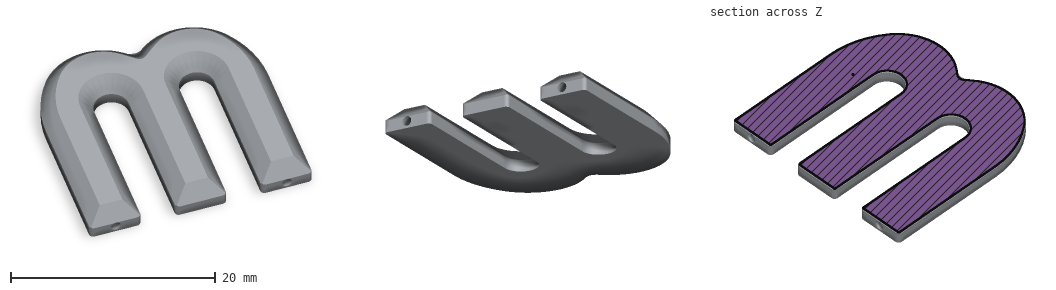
import cadquery as cq
import math

length = 22.0
width = 23.0
thickness = 2.7
bevel = 1.47
arm_width = 5.3
tip_radius = 0.41
slot_floor_x = 5.89
shoulder_x = 8.5
lobe_radius = 5.98
lobe_y = 4.67
neck_angle = math.radians(40)
neck_radius = 1.15
hole_diameter = 1.0
hole_z = 0.74

half_width = width / 2
arm_pitch = (width - arm_width) / 2
slot_width = arm_pitch - arm_width
slot_radius = slot_width / 2
slot_center_x = slot_floor_x + slot_radius

rise = half_width - lobe_y
run = shoulder_x - lobe_radius
shoulder_radius = (run**2 + rise**2 - lobe_radius**2) / (2 * (rise - lobe_radius))
shoulder_center_y = half_width - shoulder_radius
join_angle = math.atan2(lobe_y - shoulder_center_y, run)


def on_shoulder(angle):
    """Point of the upper shoulder arc, with the angle measured up from -X."""
    x = shoulder_x - shoulder_radius * math.cos(angle)
    return x, shoulder_center_y + shoulder_radius * math.sin(angle)


def on_lobe(angle):
    """Point of the upper lobe arc, with the angle measured up from -X."""
    x = lobe_radius * (1 - math.cos(angle))
    return x, lobe_y + lobe_radius * math.sin(angle)


def mirrored(point):
    return point[0], -point[1]


shoulder_end = (shoulder_x, half_width)
shoulder_middle = on_shoulder((join_angle + math.pi / 2) / 2)
join = on_shoulder(join_angle)
lobe_middle = on_lobe((join_angle - neck_angle) / 2)
flank = on_lobe(-neck_angle)
neck_x = flank[0] + flank[1] * math.tan(neck_angle)


def blank():
    """Solid plate with two lobes on the left, meeting in a sharp neck."""
    return (
        cq.Workplane("XY")
        .moveTo(length, half_width)
        .lineTo(*shoulder_end)
        .threePointArc(shoulder_middle, join)
        .threePointArc(lobe_middle, flank)
        .lineTo(neck_x, 0)
        .lineTo(*mirrored(flank))
        .threePointArc(mirrored(lobe_middle), mirrored(join))
        .threePointArc(mirrored(shoulder_middle), mirrored(shoulder_end))
        .lineTo(length, -half_width)
        .close()
        .extrude(thickness)
    )


def slot(center_y):
    """Round-ended gap between two arms, open at the arm tips."""
    return (
        cq.Workplane("XY")
        .moveTo(length, center_y + slot_radius)
        .lineTo(slot_center_x, center_y + slot_radius)
        .threePointArc((slot_floor_x, center_y), (slot_center_x, center_y - slot_radius))
        .lineTo(length, center_y - slot_radius)
        .close()
        .extrude(thickness)
    )


def lengthwise_hole(center_y):
    """Hole along the whole of an outer arm."""
    return (
        cq.Workplane("YZ")
        .center(center_y, hole_z)
        .circle(hole_diameter / 2)
        .extrude(length)
    )


body = blank()
for side in (-1, 1):
    body = body.cut(slot(side * arm_pitch / 2))

body = body.faces(">Z").edges().chamfer(bevel)

body = body.faces(">X").edges("|Z").fillet(tip_radius)
neck_margin = 0.12
neck_box = cq.selectors.BoxSelector(
    (neck_x - neck_margin, -neck_margin, 0),
    (neck_x + 2 * bevel, neck_margin, thickness - neck_margin),
)
body = body.edges(neck_box).fillet(neck_radius)

for side in (-1, 1):
    body = body.cut(lengthwise_hole(side * arm_pitch))

result = body